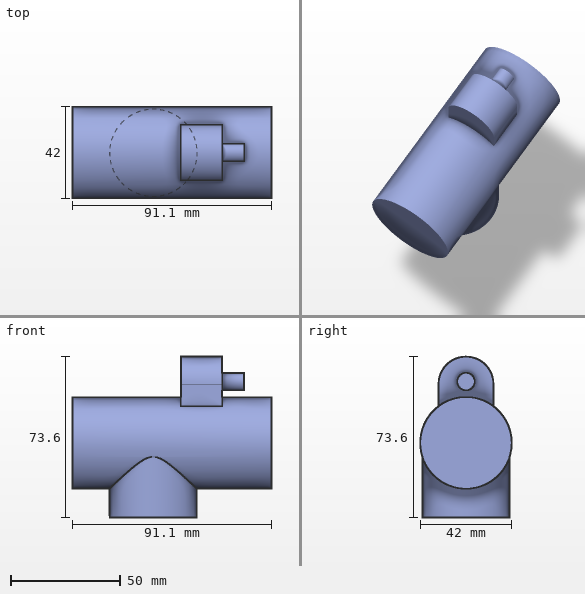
import cadquery as cq

body_length = 91.05
body_diameter = 42.0

branch_diameter = 40.0
branch_center_x = 36.9
branch_reach = 34.1

housing_start_x = 49.6
housing_length = 18.85
housing_width = 25.2
housing_top = 39.5

pin_diameter = 8.0
pin_length = 10.0
pin_height = 28.0

housing_radius = housing_width / 2
housing_arc_height = housing_top - housing_radius
housing_end_x = housing_start_x + housing_length


def cylinder_along_x(diameter, start_x, length, axis_height=0.0):
    """Solid cylinder parallel to X, centred on Y = 0."""
    return (
        cq.Workplane("YZ", origin=(start_x, 0, axis_height))
        .circle(diameter / 2)
        .extrude(length)
    )


def make_branch():
    return (
        cq.Workplane("XY", origin=(branch_center_x, 0, -branch_reach))
        .circle(branch_diameter / 2)
        .extrude(branch_reach)
    )


def make_housing():
    """Arch profile whose straight sides run down into the body."""
    return (
        cq.Workplane("YZ", origin=(housing_start_x, 0, 0))
        .moveTo(-housing_radius, 0)
        .lineTo(-housing_radius, housing_arc_height)
        .threePointArc((0, housing_top), (housing_radius, housing_arc_height))
        .lineTo(housing_radius, 0)
        .close()
        .extrude(housing_length)
    )


body = cylinder_along_x(body_diameter, 0, body_length)
pin = cylinder_along_x(pin_diameter, housing_end_x, pin_length, pin_height)

result = body.union(make_branch()).union(make_housing()).union(pin)